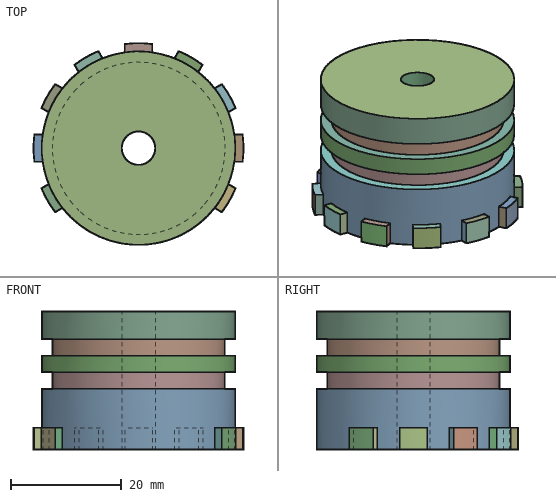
import cadquery as cq

total_height = 25.0
body_diameter = 35.0
bore_diameter = 6.0

groove_diameter = 31.2
groove_width = 3.0
land_width = 3.0
groove_count = 2
lowest_groove_bottom = 11.0
groove_pitch = groove_width + land_width

tooth_tip_diameter = 38.0
tooth_width = 5.0
tooth_height = 4.0
tooth_spacing_angle = 30.0
first_tooth_angle = -30.0
tooth_count = 9


def disc(diameter, bottom, height):
    """Solid disc on the Z axis, starting at the given height."""
    return cq.Workplane("XY").workplane(offset=bottom).circle(diameter / 2).extrude(height)


def grooved_body():
    """Plain cylinder with evenly spaced square ring grooves."""
    body = disc(body_diameter, 0, total_height)
    for index in range(groove_count):
        bottom = lowest_groove_bottom + index * groove_pitch
        ring = disc(body_diameter, bottom, groove_width)
        core = disc(groove_diameter, bottom, groove_width)
        body = body.cut(ring.cut(core))
    return body


def foot_tooth():
    """Parallel-sided bar from the axis along +X, its tip rounded to the tip cylinder."""
    tip_radius = tooth_tip_diameter / 2
    bar = cq.Workplane("XY").box(tip_radius, tooth_width, tooth_height, centered=(False, True, False))
    return bar.intersect(disc(tooth_tip_diameter, 0, tooth_height))


def add_teeth(body):
    """Join the teeth to the foot of the body at equal angles."""
    tooth = foot_tooth()
    for index in range(tooth_count):
        angle = first_tooth_angle + index * tooth_spacing_angle
        body = body.union(tooth.rotate((0, 0, 0), (0, 0, 1), angle))
    return body


bore = disc(bore_diameter, 0, total_height)
result = add_teeth(grooved_body()).cut(bore)